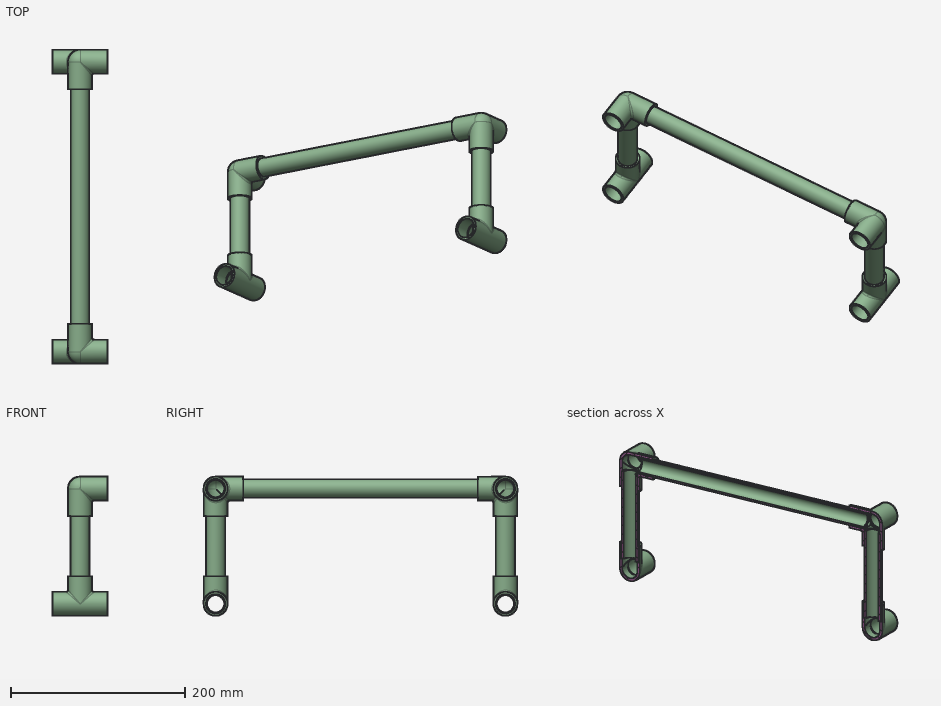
import cadquery as cq

FRAME_LENGTH = 360.0
FRAME_HEIGHT = 160.0

LEG_DIAMETER = 22.5
BAR_DIAMETER = 21.5
PIPE_BORE_DIAMETER = 16.0

FITTING_DIAMETER = 27.7
ARM_REACH = 31.7
SOCKET_DEPTH = 19.8
FITTING_BORE_DIAMETER = 19.8
CROTCH_FILLET = 2.0

FITTING_RADIUS = FITTING_DIAMETER / 2
TEE_HEIGHT = FITTING_RADIUS
CORNER_HEIGHT = FRAME_HEIGHT - FITTING_RADIUS
SIDE_OFFSET = FRAME_LENGTH / 2 - FITTING_RADIUS
SHOULDER_REACH = ARM_REACH - SOCKET_DEPTH

PLUS_X = cq.Vector(1, 0, 0)
MINUS_X = cq.Vector(-1, 0, 0)
PLUS_Y = cq.Vector(0, 1, 0)
MINUS_Y = cq.Vector(0, -1, 0)
PLUS_Z = cq.Vector(0, 0, 1)
MINUS_Z = cq.Vector(0, 0, -1)


def rod(diameter, start, end, direction):
    """Cylinder along a direction, between two distances from the origin."""
    cylinder = cq.Solid.makeCylinder(diameter / 2, end - start, direction * start, direction)
    return cq.Workplane(cylinder)


def ball(diameter):
    """Sphere at the origin."""
    return cq.Workplane("XY").sphere(diameter / 2)


def fillet_crotches(body):
    """Round the curves where two arms meet, the only edges that are neither circles nor lines."""
    return body.edges("not %CIRCLE").edges("not %LINE").fillet(CROTCH_FILLET)


def hollow(body, sockets):
    """Cut a bore and a stepped socket into every arm, from (direction, socket diameter) pairs."""
    body = body.cut(ball(FITTING_BORE_DIAMETER))
    for direction, socket_diameter in sockets:
        body = body.cut(rod(FITTING_BORE_DIAMETER, 0, ARM_REACH, direction))
        body = body.cut(rod(socket_diameter, SHOULDER_REACH, ARM_REACH, direction))
    return body


def tee():
    """Foot fitting: a straight run along X with a branch up to the leg."""
    body = rod(FITTING_DIAMETER, -ARM_REACH, ARM_REACH, PLUS_X)
    body = body.union(rod(FITTING_DIAMETER, 0, ARM_REACH, PLUS_Z))
    sockets = [(PLUS_X, LEG_DIAMETER), (MINUS_X, LEG_DIAMETER), (PLUS_Z, LEG_DIAMETER)]
    return hollow(fillet_crotches(body), sockets)


def corner(inward):
    """Three-way fitting with a ball corner: an open arm, an arm to the leg and an arm to the bar."""
    sockets = [(PLUS_X, LEG_DIAMETER), (MINUS_Z, LEG_DIAMETER), (inward, BAR_DIAMETER)]
    body = ball(FITTING_DIAMETER)
    for direction, _ in sockets:
        body = body.union(rod(FITTING_DIAMETER, 0, ARM_REACH, direction))
    return hollow(fillet_crotches(body), sockets)


def pipe(diameter, start, end, direction):
    """Tube along a direction, between two distances from the origin."""
    bore = rod(PIPE_BORE_DIAMETER, start, end, direction)
    return rod(diameter, start, end, direction).cut(bore)


def leg():
    """Upright pipe from the tee shoulder to the corner shoulder."""
    return pipe(LEG_DIAMETER, TEE_HEIGHT + SHOULDER_REACH, CORNER_HEIGHT - SHOULDER_REACH, PLUS_Z)


def crossbar():
    """Long pipe between the shoulders of the two corner fittings."""
    half_length = SIDE_OFFSET - SHOULDER_REACH
    return pipe(BAR_DIAMETER, -half_length, half_length, PLUS_Y).translate((0, 0, CORNER_HEIGHT))


bodies = [crossbar().solids().val()]
for side_y, inward in ((-SIDE_OFFSET, PLUS_Y), (SIDE_OFFSET, MINUS_Y)):
    bodies.append(tee().translate((0, side_y, TEE_HEIGHT)).solids().val())
    bodies.append(leg().translate((0, side_y, 0)).solids().val())
    bodies.append(corner(inward).translate((0, side_y, CORNER_HEIGHT)).solids().val())

result = cq.Compound.makeCompound(bodies)